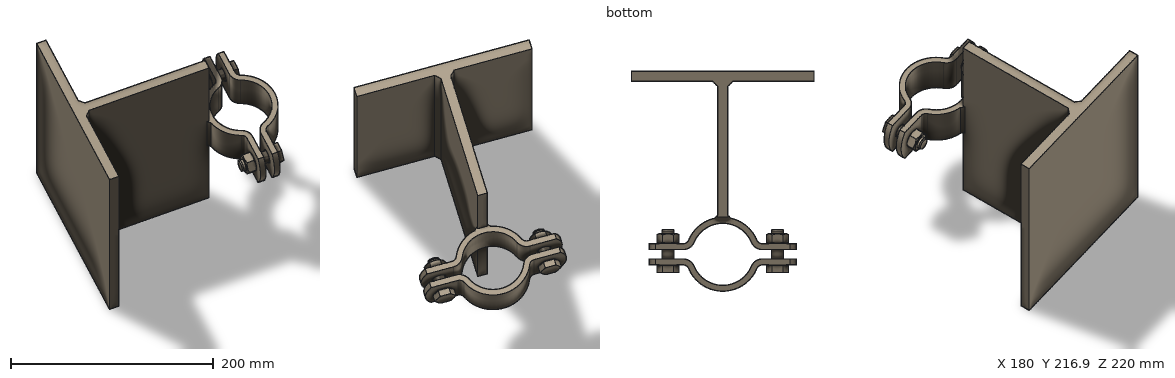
import cadquery as cq
import math

height = 220.0
plate_width = 180.0
plate_thickness = 10.0
web_thickness = 10
web_weld_leg = 5.0

overall_depth = 216.9
bore_diameter = 61.0
strap_thickness = 6.0
strap_height = 40.0
clamp_gap = 9.0
bend_inner_radius = 6.0
ear_tip_x = 72.5
ear_corner_x = 66.5
clamp_weld_leg = 3.0

bolt_spacing = 108.0
bolt_hole_diameter = 14.0
bolt_diameter = 12.0
bolt_length = 35.0
bolt_tip_diameter = 11.05
bolt_tip_length = 1.5
hex_across_flats = 19.0
head_height = 7.5
nut_height = 10.0
hex_face_diameter = 17.2
head_top_diameter = 20.8
washer_face_height = 0.6
hex_chamfer_angle = math.radians(30)

bore_radius = bore_diameter / 2
outer_radius = bore_radius + strap_thickness
clamp_y = overall_depth - outer_radius
web_end_y = clamp_y - outer_radius
half_web = web_thickness / 2
ear_inner_y = clamp_gap / 2
ear_outer_y = ear_inner_y + strap_thickness
bend_outer_radius = bend_inner_radius + strap_thickness
hex_across_corners = hex_across_flats / math.cos(math.pi / 6)


def centered_prism(sketch, length):
    """Extrude an XY outline symmetrically about Z = 0."""
    return sketch.extrude(length / 2, both=True)


def make_post():
    """Plate and web, with 45 degree weld beads in the two inside corners."""
    half_plate = plate_width / 2
    weld_x = half_web + web_weld_leg
    weld_y = plate_thickness + web_weld_leg
    outline = cq.Workplane("XY").polyline([
        (-half_plate, 0),
        (half_plate, 0),
        (half_plate, plate_thickness),
        (weld_x, plate_thickness),
        (half_web, weld_y),
        (half_web, web_end_y),
        (-half_web, web_end_y),
        (-half_web, weld_y),
        (-weld_x, plate_thickness),
        (-half_plate, plate_thickness),
    ]).close()
    return centered_prism(outline, height)


def make_clamp_weld():
    """Weld bead that joins the web end to the front of the clamp."""
    toe_x = half_web + clamp_weld_leg
    toe_y = clamp_y - math.sqrt(outer_radius**2 - toe_x**2)
    root_y = toe_y - clamp_weld_leg
    outline = cq.Workplane("XY").polyline([
        (-half_web, root_y),
        (half_web, root_y),
        (toe_x, toe_y),
        (-toe_x, toe_y),
    ]).close()
    return centered_prism(outline, strap_height)


def ear_trim():
    """Block whose two ends are the rounded ear ends, as seen along Y."""
    half_height = strap_height / 2
    outline = (
        cq.Workplane("XZ")
        .moveTo(-ear_corner_x, -half_height)
        .lineTo(ear_corner_x, -half_height)
        .threePointArc((ear_tip_x, 0), (ear_corner_x, half_height))
        .lineTo(-ear_corner_x, half_height)
        .threePointArc((-ear_tip_x, 0), (-ear_corner_x, -half_height))
        .close()
    )
    return outline.extrude(outer_radius, both=True)


def make_half_clamp():
    """Rear clamp strap about a bore on the Z axis, with ears, bends and bolt holes."""
    bend_y = ear_outer_y + bend_inner_radius
    bend_distance = outer_radius + bend_inner_radius
    bend_x = math.sqrt(bend_distance**2 - bend_y**2)
    bend_angle = math.atan2(bend_y, bend_x)

    toward_bore = math.pi + bend_angle
    toward_ear = math.pi * 3 / 2
    mid_bend = (toward_bore + toward_ear) / 2

    def on_ring(radius, side):
        return (side * radius * math.cos(bend_angle), radius * math.sin(bend_angle))

    def on_bend(radius, side):
        x = bend_x + radius * math.cos(mid_bend)
        y = bend_y + radius * math.sin(mid_bend)
        return (side * x, y)

    outline = (
        cq.Workplane("XY")
        .moveTo(ear_tip_x, ear_outer_y)
        .lineTo(bend_x, ear_outer_y)
        .threePointArc(on_bend(bend_inner_radius, 1), on_ring(outer_radius, 1))
        .threePointArc((0, outer_radius), on_ring(outer_radius, -1))
        .threePointArc(on_bend(bend_inner_radius, -1), (-bend_x, ear_outer_y))
        .lineTo(-ear_tip_x, ear_outer_y)
        .lineTo(-ear_tip_x, ear_inner_y)
        .lineTo(-bend_x, ear_inner_y)
        .threePointArc(on_bend(bend_outer_radius, -1), on_ring(bore_radius, -1))
        .threePointArc((0, bore_radius), on_ring(bore_radius, 1))
        .threePointArc(on_bend(bend_outer_radius, 1), (bend_x, ear_inner_y))
        .lineTo(ear_tip_x, ear_inner_y)
        .close()
    )
    holes = (
        cq.Workplane("XZ")
        .pushPoints([(-bolt_spacing / 2, 0), (bolt_spacing / 2, 0)])
        .circle(bolt_hole_diameter / 2)
        .extrude(outer_radius, both=True)
    )
    return centered_prism(outline, strap_height).intersect(ear_trim()).cut(holes)


def revolve_about_y(profile):
    """Turn a closed (radius, y) profile about the Y axis."""
    return cq.Workplane("XY").polyline(profile).close().revolve(360, (0, 0, 0), (0, 1, 0))


def hex_prism(y_start, y_end):
    """Hexagon about the Y axis with two corners on the X axis."""
    return (
        cq.Workplane("XZ", origin=(0, y_end, 0))
        .polygon(6, hex_across_corners)
        .extrude(y_end - y_start)
    )


def make_bolt():
    """Bolt with its head behind the rear ear and its nut in front of the front ear."""
    shank_radius = bolt_diameter / 2
    face_radius = hex_face_diameter / 2
    corner_radius = hex_across_corners / 2
    tip_y = ear_outer_y - bolt_length
    nut_rear_y = -ear_outer_y
    nut_front_y = nut_rear_y - nut_height
    nut_chamfer = (corner_radius - face_radius) * math.tan(hex_chamfer_angle)
    head_top_radius = head_top_diameter / 2
    head_front_y = ear_outer_y + washer_face_height
    head_rear_y = ear_outer_y + head_height
    head_chamfer = (corner_radius - head_top_radius) * math.tan(hex_chamfer_angle)

    shank = revolve_about_y([
        (0, ear_outer_y),
        (shank_radius, ear_outer_y),
        (shank_radius, tip_y + bolt_tip_length),
        (bolt_tip_diameter / 2, tip_y),
        (0, tip_y),
    ])
    washer_face = (
        cq.Workplane("XZ", origin=(0, head_front_y, 0))
        .circle(face_radius)
        .extrude(washer_face_height)
    )
    head_envelope = revolve_about_y([
        (0, head_front_y),
        (corner_radius, head_front_y),
        (corner_radius, head_rear_y - head_chamfer),
        (head_top_radius, head_rear_y),
        (0, head_rear_y),
    ])
    head = hex_prism(head_front_y, head_rear_y).intersect(head_envelope)
    nut_envelope = revolve_about_y([
        (0, nut_rear_y),
        (face_radius, nut_rear_y),
        (corner_radius, nut_rear_y - nut_chamfer),
        (corner_radius, nut_front_y + nut_chamfer),
        (face_radius, nut_front_y),
        (0, nut_front_y),
    ])
    nut = hex_prism(nut_front_y, nut_rear_y).intersect(nut_envelope)
    return shank.union(washer_face).union(head).union(nut)


def make_clamp():
    """Both straps and both bolts, moved to their place behind the web."""
    rear_half = make_half_clamp()
    front_half = rear_half.mirror("XZ")
    clamp = rear_half
    bolt = make_bolt()
    for side in (-1, 1):
        clamp = clamp.union(bolt.translate((side * bolt_spacing / 2, 0, 0)))
    return clamp.union(front_half).translate((0, clamp_y, 0))


result = make_post().union(make_clamp_weld()).union(make_clamp())